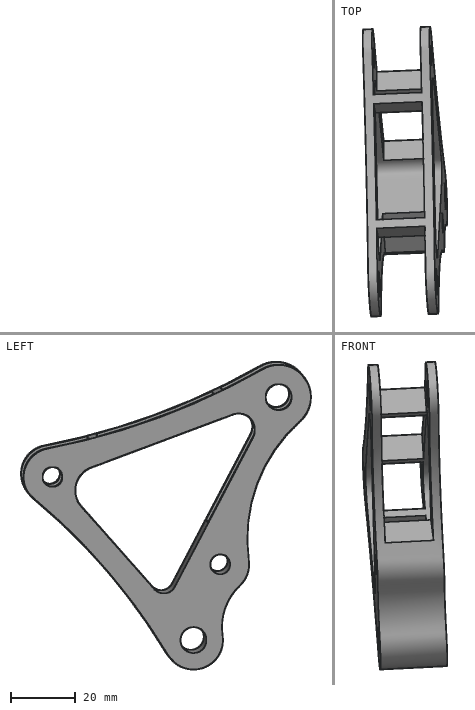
import cadquery as cq
import math


plate_thickness = 2.9
plate_gap = 15.0
total_width = 2 * plate_thickness + plate_gap

turn_about_z = 2.4
lean_about_y = -2.9

large_bore = 4.0
small_bore = 3.05
small_lug_radius = 9.0
bottom_lug = ((0, 0), 9.2, large_bore)
side_lug = ((-8.3, 23.5), small_lug_radius, small_bore)
upper_lug = ((-26.4, 75.2), 10.0, large_bore)
far_lug = ((43.7, 50.6), small_lug_radius, small_bore)

outline_edges = [(bottom_lug, 17.6), (side_lug, 48.6), (upper_lug, 217.4), (far_lug, 190.7)]

far_corner = (42.0, 49.7)
upper_corner = (-24.6, 74.5)
bottom_corner = (8.4, 11.6)
far_fillet = 7.5
upper_fillet = 5.1
bottom_fillet = 3.8

rib_thickness = 3.0
rib_reach = 19.1
top_rib_inset = 13.4
lower_rib_inset = 12.9
foot_start_on_far_side = 45.4
foot_height_on_near_side = 27.9
foot_reach = 38.15

gap_cutter_size = 381.5


def offset_point(start, direction, distance):
    return (start[0] + distance * direction[0], start[1] + distance * direction[1])


def direction_between(start, end):
    length = math.dist(start, end)
    return ((end[0] - start[0]) / length, (end[1] - start[1]) / length)


def outward_normal(direction):
    """Side facing away from the part when its sides are followed clockwise in the YZ plane."""
    return (-direction[1], direction[0])


def hollow_edge(first, second, radius):
    """Start, middle and end of the concave arc that touches two lugs from outside."""
    (first_centre, first_radius, _), (second_centre, second_radius, _) = first, second
    span = math.dist(first_centre, second_centre)
    first_reach = radius + first_radius
    second_reach = radius + second_radius
    along = (first_reach**2 - second_reach**2 + span**2) / (2 * span)
    aside = math.sqrt(first_reach**2 - along**2)
    direction = direction_between(first_centre, second_centre)
    foot = offset_point(first_centre, direction, along)
    centre = offset_point(foot, outward_normal(direction), aside)
    start = offset_point(centre, direction_between(centre, first_centre), radius)
    end = offset_point(centre, direction_between(centre, second_centre), radius)
    chord_middle = ((start[0] + end[0]) / 2, (start[1] + end[1]) / 2)
    middle = offset_point(centre, direction_between(centre, chord_middle), radius)
    return start, middle, end


def make_outline():
    """Full-width solid bounded by the lugs and the hollow edges between them."""
    lugs = [lug for lug, _ in outline_edges]
    next_lugs = lugs[1:] + lugs[:1]
    arcs = [
        hollow_edge(lug, next_lug, radius)
        for (lug, radius), next_lug in zip(outline_edges, next_lugs)
    ]
    profile = cq.Workplane("YZ").moveTo(*arcs[0][0])
    for (start, middle, end), lug, next_arc in zip(arcs, next_lugs, arcs[1:] + arcs[:1]):
        centre, radius, _ = lug
        lug_tip = offset_point(centre, outward_normal(direction_between(end, next_arc[0])), radius)
        profile = profile.threePointArc(middle, end).threePointArc(lug_tip, next_arc[0])
    return profile.close().extrude(total_width)


def make_window():
    window = cq.Workplane("YZ").polyline([far_corner, upper_corner, bottom_corner]).close()
    window = window.extrude(total_width)
    for corner, radius in (
        (far_corner, far_fillet),
        (upper_corner, upper_fillet),
        (bottom_corner, bottom_fillet),
    ):
        nearest_edge = cq.NearestToPointSelector((total_width / 2, *corner))
        window = window.edges("|X").edges(nearest_edge).fillet(radius)
    return window


def make_rib(side_start, side_end, inset):
    """Rib standing square on a window side, its first face at the given inset."""
    along = direction_between(side_start, side_end)
    outward = outward_normal(along)
    first = offset_point(side_start, along, inset)
    second = offset_point(first, along, rib_thickness)
    corners = [
        first,
        second,
        offset_point(second, outward, rib_reach),
        offset_point(first, outward, rib_reach),
    ]
    return cq.Workplane("YZ").polyline(corners).close().extrude(total_width)


def make_foot():
    """Solid region around the lowest window corner, ending square to both window sides."""
    far_side = direction_between(far_corner, bottom_corner)
    near_side = direction_between(bottom_corner, upper_corner)
    far_start = offset_point(far_corner, far_side, foot_start_on_far_side)
    near_start = offset_point(bottom_corner, near_side, foot_height_on_near_side)
    far_outside = offset_point(far_start, outward_normal(far_side), foot_reach)
    near_outside = offset_point(near_start, outward_normal(near_side), foot_reach)
    corners = [
        far_start,
        far_outside,
        offset_point(far_outside, far_side, foot_reach),
        offset_point(near_outside, near_side, -foot_reach),
        near_outside,
        near_start,
    ]
    return cq.Workplane("YZ").polyline(corners).close().extrude(total_width)


def make_gap():
    """Space between the plates, leaving the ribs and the foot standing."""
    gap = cq.Workplane("YZ", origin=(plate_thickness, 0, 0))
    gap = gap.rect(gap_cutter_size, gap_cutter_size).extrude(plate_gap)
    top_length = math.dist(upper_corner, far_corner)
    for inset in (top_rib_inset, top_length - top_rib_inset - rib_thickness):
        gap = gap.cut(make_rib(upper_corner, far_corner, inset))
    gap = gap.cut(make_rib(far_corner, bottom_corner, lower_rib_inset))
    return gap.cut(make_foot())


def drill_bores(body):
    for (centre, _, bore_radius), _ in outline_edges:
        bore = cq.Workplane("YZ").center(*centre).circle(bore_radius).extrude(total_width)
        body = body.cut(bore)
    return body


bracket = make_outline().cut(make_window()).cut(make_gap())
bracket = drill_bores(bracket)
result = bracket.rotate((0, 0, 0), (0, 0, 1), turn_about_z).rotate((0, 0, 0), (0, 1, 0), lean_about_y)